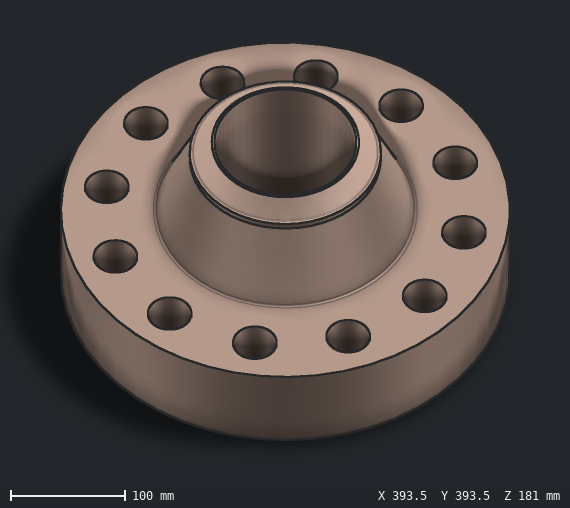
import cadquery as cq

flange_diameter = 393.5
flange_thickness = 83.0
face_diameter = 248.0
face_height = 9.5
total_height = 181.0

hub_base_diameter = 228.0
hub_fillet_radius = 2.8
land_diameter = 167.5
land_height = 6.0
shoulder_rise = 0.8
bevel_base_diameter = 161.8
bevel_fillet_radius = 2.0
bevel_height = 13.0
tip_diameter = 129.0
bore_diameter = 124.5

bolt_count = 12
bolt_circle_diameter = 317.5
bolt_hole_diameter = 38.0

box_margin = 0.2

flange_top = face_height + flange_thickness
bevel_base = total_height - bevel_height
land_top = bevel_base - shoulder_rise
land_bottom = land_top - land_height


def make_base():
    """Raised face with the flange disc on top of it."""
    face = cq.Workplane("XY").circle(face_diameter / 2).extrude(face_height)
    disc = (
        cq.Workplane("XY")
        .workplane(offset=face_height)
        .circle(flange_diameter / 2)
        .extrude(flange_thickness)
    )
    return face.union(disc)


def make_neck():
    """Solid weld neck, revolved about the Z axis."""
    return (
        cq.Workplane("XZ")
        .moveTo(0, flange_top)
        .lineTo(hub_base_diameter / 2, flange_top)
        .lineTo(land_diameter / 2, land_bottom)
        .lineTo(land_diameter / 2, land_top)
        .lineTo(bevel_base_diameter / 2, bevel_base)
        .lineTo(tip_diameter / 2, total_height)
        .lineTo(0, total_height)
        .close()
        .revolve(360, (0, 0, 0), (0, 1, 0))
    )


def fillet_circle(body, diameter, height, radius):
    """Round the circular edge of the given diameter, centred on the Z axis at the given height."""
    outline = cq.selectors.BoxSelector(
        (-diameter / 2 - box_margin, -diameter / 2 - box_margin, height - box_margin),
        (diameter / 2 + box_margin, diameter / 2 + box_margin, height + box_margin),
        boundingbox=True,
    )
    return body.edges(outline).fillet(radius)


def make_bolt_holes():
    """Cutters for the bolt holes, one of them on the X axis."""
    return (
        cq.Workplane("XY")
        .polarArray(bolt_circle_diameter / 2, 0, 360, bolt_count)
        .circle(bolt_hole_diameter / 2)
        .extrude(flange_top)
    )


def make_bore():
    """Cutter for the straight bore through the whole part."""
    return cq.Workplane("XY").circle(bore_diameter / 2).extrude(total_height)


flange = make_base().union(make_neck())
flange = fillet_circle(flange, hub_base_diameter, flange_top, hub_fillet_radius)
flange = fillet_circle(flange, bevel_base_diameter, bevel_base, bevel_fillet_radius)
result = flange.cut(make_bolt_holes()).cut(make_bore())